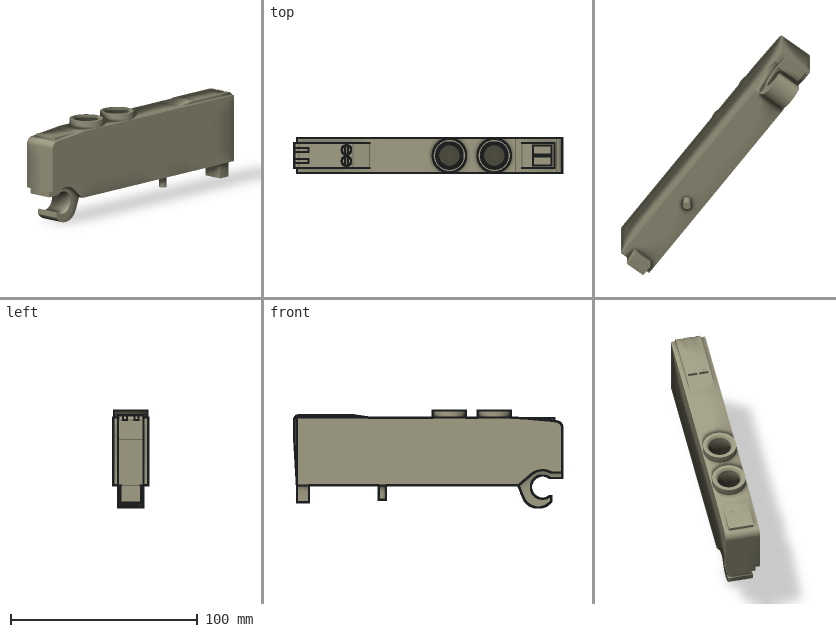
import cadquery as cq
import math

total_length = 143.8
body_width = 18.8
body_height = 36.4
body_left = 1.5
slope_start = 118.8
slope_rate = 0.09
end_round = 3.5

inner_width = 13.5
row_offset = 3.0

cover_height = 37.7
cover_flat_end = 31.5
cover_end = 40.4
cover_taper_height = 24.6
cover_round = 2.6
groove_length = 7.6
groove_width = 2.2
groove_depth = 0.1
screw_x = 28.0
screw_diameter = 5.0
screw_recess = 0.07
screw_slot_width = 1.6
screw_slot_depth = 1.3

port_positions = (83.3, 107.3)
collar_diameter = 18.0
collar_top = 40.3
bore_diameter = 12.2
bore_depth = 17.3
bore_chamfer = 1.0

plate_start = 122.2
plate_end = 139.6
window_start = 128.0
window_end = 137.9
window_width = 4.9
window_depth = 0.07

hook_x = 133.2
hook_z = -0.9
hook_bore_radius = 6.2
hook_rim_radius = 9.0
hook_mouth_half = 4.7
hook_root_x = 120.2
hook_end_x = 137.9
jaw_x = 130.9
jaw_z = -3.2
jaw_radius = 8.8
jaw_start_z = -6.3

foot_length = 6.6
foot_width = 10.8
foot_depth = 9.0
pin_x = 47.3
pin_diameter = 4.0
pin_depth = 7.8


def slope_height(x):
    """Height of the sloping top at x."""
    return body_height - slope_rate * (x - slope_start)


def prism(outline, width):
    """Extrude a closed XZ outline, centred on Y = 0."""
    return outline.close().extrude(width / 2, both=True)


def block(x_start, x_end, z_bottom, z_top, width, y_center=0):
    """Box given by its X and Z limits, centred on y_center."""
    corner = (x_start, y_center - width / 2, z_bottom)
    return cq.Workplane("XY").box(x_end - x_start, width, z_top - z_bottom, centered=False).translate(corner)


def post(x, z_bottom, z_top, diameter, y=0):
    """Upright cylinder."""
    return cq.Workplane("XY", origin=(x, y, z_bottom)).circle(diameter / 2).extrude(z_top - z_bottom)


def on_circle(center_x, center_z, radius, angle):
    """XZ point on a circle, with the angle measured from +X toward +Z."""
    return (center_x + radius * math.cos(angle), center_z + radius * math.sin(angle))


root_dx = hook_root_x - hook_x
root_dz = -hook_z
tangent_angle = math.atan2(root_dz, root_dx) - math.acos(hook_rim_radius / math.hypot(root_dx, root_dz))
rim_end_angle = math.acos((hook_end_x - hook_x) / hook_rim_radius)
rim_tangent = on_circle(hook_x, hook_z, hook_rim_radius, tangent_angle)
rim_top = (hook_x, hook_z + hook_rim_radius)
rim_end = on_circle(hook_x, hook_z, hook_rim_radius, rim_end_angle)


def make_body():
    """Full-width body, cut away above the hook and rounded at the upper right."""
    outline = (
        cq.Workplane("XZ")
        .moveTo(body_left, 0)
        .lineTo(hook_root_x, 0)
        .lineTo(*rim_tangent)
        .threePointArc(rim_top, rim_end)
        .lineTo(total_length, rim_end[1])
        .lineTo(total_length, slope_height(total_length))
        .lineTo(slope_start, body_height)
        .lineTo(body_left, body_height)
    )
    return prism(outline, body_width).faces(">X").edges(">Z").fillet(end_round)


def make_cover():
    """Cover wrapped over the left end, with a rounded upper corner."""
    outline = (
        cq.Workplane("XZ")
        .moveTo(body_left, 0)
        .lineTo(0, cover_taper_height)
        .lineTo(0, cover_height - cover_round)
        .radiusArc((cover_round, cover_height), cover_round)
        .lineTo(cover_flat_end, cover_height)
        .lineTo(cover_end, body_height)
        .lineTo(cover_end, 0)
    )
    return prism(outline, inner_width)


def cut_cover_details(part, cover):
    """Two grooves over the rounded corner and two slotted screw heads."""
    groove_floor = cover.translate((groove_depth, 0, -groove_depth))
    screw_top = cover_height - screw_recess
    for y in (-row_offset, row_offset):
        groove = block(0, groove_length, cover_height - cover_round, cover_height, groove_width, y)
        part = part.cut(groove.cut(groove_floor))
        head_recess = post(screw_x, screw_top, cover_height, screw_diameter, y)
        slot_start = screw_x - screw_slot_width / 2
        slot = block(slot_start, slot_start + screw_slot_width,
                     cover_height - screw_slot_depth, cover_height, screw_diameter, y)
        slot = slot.intersect(post(screw_x, 0, cover_height, screw_diameter, y))
        part = part.cut(head_recess).cut(slot)
    return part


def add_ports(part):
    """Round collars on the top, each with a blind bore and a chamfered mouth."""
    for x in port_positions:
        part = part.union(post(x, body_height / 2, collar_top, collar_diameter))
        bore = post(x, collar_top - bore_depth, collar_top, bore_diameter)
        mouth = cq.Workplane(cq.Solid.makeCone(
            bore_diameter / 2, bore_diameter / 2 + bore_chamfer, bore_chamfer,
            cq.Vector(x, 0, collar_top - bore_chamfer), cq.Vector(0, 0, 1)))
        part = part.cut(bore).cut(mouth)
    return part


def add_label_plate(part):
    """Level plate that grows out of the slope, with two shallow windows."""
    plate_top = slope_height(plate_start)
    part = part.union(block(plate_start, plate_end, body_height / 2, plate_top, inner_width))
    for y in (-row_offset, row_offset):
        part = part.cut(block(window_start, window_end, plate_top - window_depth, plate_top, window_width, y))
    return part


def make_hook():
    """Open hook around the rail bore, with its upper lip running to the right end."""
    jaw_start_angle = math.pi - math.asin((jaw_start_z - jaw_z) / jaw_radius)
    jaw_end_angle = -math.acos((hook_end_x - jaw_x) / jaw_radius)
    outline = (
        cq.Workplane("XZ")
        .moveTo(hook_root_x, 0)
        .lineTo(*on_circle(jaw_x, jaw_z, jaw_radius, jaw_start_angle))
        .threePointArc((jaw_x, jaw_z - jaw_radius), on_circle(jaw_x, jaw_z, jaw_radius, jaw_end_angle))
        .lineTo(hook_end_x, hook_z + hook_mouth_half)
        .lineTo(total_length, hook_z + hook_mouth_half)
        .lineTo(total_length, rim_end[1])
        .lineTo(*rim_end)
        .threePointArc(rim_top, rim_tangent)
    )
    bore = cq.Workplane("XZ").center(hook_x, hook_z).circle(hook_bore_radius).extrude(inner_width, both=True)
    mouth = block(hook_x, total_length, hook_z - hook_mouth_half, hook_z + hook_mouth_half, inner_width)
    return prism(outline, inner_width).cut(bore).cut(mouth)


foot = block(body_left, body_left + foot_length, -foot_depth, 0, foot_width)
pin = post(pin_x, -pin_depth, 0, pin_diameter)

cover = make_cover()
result = make_body().union(cover)
result = cut_cover_details(result, cover)
result = add_ports(result)
result = add_label_plate(result)
result = result.union(make_hook()).union(foot).union(pin)